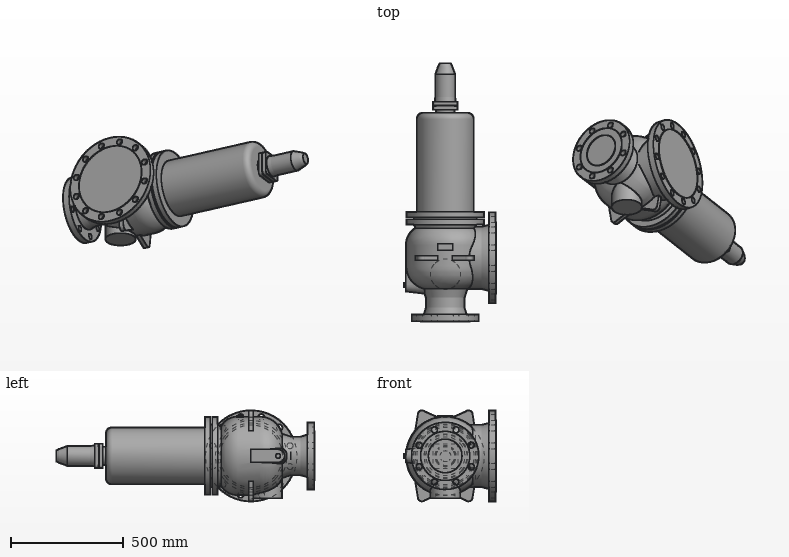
import cadquery as cq
import math


inlet_face = -283.0
inlet_raised_height = 2.0
inlet_raised_radius = 109.0
inlet_recess_radius = 75.0
inlet_recess_depth = 2.0
inlet_flange_radius = 149.0
inlet_flange_thickness = 31.0
inlet_neck_radius = 86.0
inlet_hub_radius = 95.0
inlet_hub_length = 30.0
inlet_neck_top = -177.0
inlet_bolt_circle_radius = 125.0
inlet_bolt_count = 8
bolt_hole_diameter = 26.0

body_radius = 174.0
bowl_throat_radius = 99.0
bowl_throat = -138.0
bowl_top = -39.0
shoulder_start = 60.0
shoulder_end = 132.0
shoulder_end_radius = 133.0
collar_radius = 143.0

joint_start = 148.0
joint_flange_radius = 345.0 / 2
joint_flange_thickness = 24.0
gasket_radius = 140.0
gasket_thickness = 8.0

bonnet_radius = 253.0 / 2
bonnet_top = 643.0
bonnet_rounding = 28.0
stem_radius = 41.0
nut_start = 656.0
nut_width = 109.0
nut_thickness = 17.0
nut_gap = 2.0
nut_corner_radius = 14.0

cap_radius = 45.0
cap_skirt_radius = 47.0
cap_skirt_length = 21.0
cap_taper_start = 813.0
cap_taper_end = 851.0
cap_taper_end_radius = 31.0
cap_top = 864.0
cap_top_radius = 24.0

outlet_face = 226.0
outlet_raised_height = 2.0
outlet_raised_radius = 158.0
outlet_flange_radius = 405.0 / 2
outlet_flange_thickness = 30.0
outlet_pipe_radius = 276.0 / 2
outlet_hub_radius = 147.0
outlet_hub_length = 33.0
outlet_bolt_circle_radius = 178.0
outlet_bolt_count = 12

drain_radius = 134.0 / 2
drain_y = -71.0
drain_length = 188.0

boss_face = 175.0
boss_half_width = 29.0
boss_center_y = -120.0
boss_draft = 7
boss_depth = 115.0
plug_radius = 10.0
plug_face = 184.0
plug_embedment = 57.0

lug_thickness = 21.0
lug_root = (29.0, 170.0)
lug_slope_end = (91.0, 197.0)
lug_peak = (105.0, 202.0)
lug_tip_side = (122.0, 186.0)
lug_outer_foot = (134.0, 108.0)
lug_inner_foot = (29.0, 108.0)

plate_width = 65.0
plate_length = 29.0
plate_center_y = 48.0
plate_height = 178.0

joint_top = joint_start + 2 * joint_flange_thickness + gasket_thickness


def tangent_arc_middle(radius, y_tangent, end_radius, y_end):
    """Middle of the arc that starts parallel to the axis and ends at (end_radius, y_end)."""
    dr = end_radius - radius
    dy = y_end - y_tangent
    arc_radius = (dr**2 + dy**2) / (2 * abs(dr))
    side = math.copysign(1, dr)
    half_sweep = math.asin(abs(dy) / arc_radius) / 2
    r_middle = radius + side * arc_radius * (1 - math.cos(half_sweep))
    y_middle = y_tangent + math.copysign(arc_radius * math.sin(half_sweep), dy)
    return (r_middle, y_middle)


def make_main_turning():
    """Inlet nozzle, bowl, bolted joint and bonnet, turned about the Y axis."""
    recess_floor = inlet_face + inlet_recess_depth
    flange_front = inlet_face + inlet_raised_height
    flange_back = flange_front + inlet_flange_thickness
    hub_end = flange_back + inlet_hub_length
    gasket_start = joint_start + joint_flange_thickness
    gasket_end = gasket_start + gasket_thickness
    bowl_middle = tangent_arc_middle(body_radius, bowl_top, bowl_throat_radius, bowl_throat)
    shoulder_middle = tangent_arc_middle(body_radius, shoulder_start, shoulder_end_radius, shoulder_end)
    collar_middle = tangent_arc_middle(shoulder_end_radius, shoulder_end, collar_radius, joint_start)
    bonnet_side_top = bonnet_top - bonnet_rounding
    return (
        cq.Workplane("XY")
        .moveTo(0, recess_floor)
        .lineTo(inlet_recess_radius, recess_floor)
        .lineTo(inlet_recess_radius, inlet_face)
        .lineTo(inlet_raised_radius, inlet_face)
        .lineTo(inlet_raised_radius, flange_front)
        .lineTo(inlet_flange_radius, flange_front)
        .lineTo(inlet_flange_radius, flange_back)
        .lineTo(inlet_hub_radius, flange_back)
        .lineTo(inlet_neck_radius, hub_end)
        .lineTo(inlet_neck_radius, inlet_neck_top)
        .lineTo(bowl_throat_radius, bowl_throat)
        .threePointArc(bowl_middle, (body_radius, bowl_top))
        .lineTo(body_radius, shoulder_start)
        .threePointArc(shoulder_middle, (shoulder_end_radius, shoulder_end))
        .threePointArc(collar_middle, (collar_radius, joint_start))
        .lineTo(joint_flange_radius, joint_start)
        .lineTo(joint_flange_radius, gasket_start)
        .lineTo(gasket_radius, gasket_start)
        .lineTo(gasket_radius, gasket_end)
        .lineTo(joint_flange_radius, gasket_end)
        .lineTo(joint_flange_radius, joint_top)
        .lineTo(bonnet_radius, joint_top)
        .lineTo(bonnet_radius, bonnet_side_top)
        .radiusArc((bonnet_radius - bonnet_rounding, bonnet_top), -bonnet_rounding)
        .lineTo(0, bonnet_top)
        .close()
        .revolve(360, (0, 0, 0), (0, 1, 0))
    )


def make_spindle():
    """Stem, two rounded square nuts and the tapered cap."""
    upper_nut_start = nut_start + nut_thickness + nut_gap
    cap_start = upper_nut_start + nut_thickness
    skirt_end = cap_start + cap_skirt_length
    turning = (
        cq.Workplane("XY")
        .moveTo(0, bonnet_top)
        .lineTo(stem_radius, bonnet_top)
        .lineTo(stem_radius, cap_start)
        .lineTo(cap_skirt_radius, cap_start)
        .lineTo(cap_radius, skirt_end)
        .lineTo(cap_radius, cap_taper_start)
        .lineTo(cap_taper_end_radius, cap_taper_end)
        .lineTo(cap_top_radius, cap_top)
        .lineTo(0, cap_top)
        .close()
        .revolve(360, (0, 0, 0), (0, 1, 0))
    )
    for start in (nut_start, upper_nut_start):
        nut = (
            cq.Workplane("XZ", origin=(0, start, 0))
            .rect(nut_width, nut_width)
            .extrude(-nut_thickness)
            .edges("|Y")
            .fillet(nut_corner_radius)
        )
        turning = turning.union(nut)
    return turning


def make_outlet():
    """Outlet pipe, hub, flange and raised face, turned about the X axis."""
    flange_front = outlet_face - outlet_raised_height
    flange_back = flange_front - outlet_flange_thickness
    hub_start = flange_back - outlet_hub_length
    return (
        cq.Workplane("XY")
        .lineTo(0, outlet_pipe_radius)
        .lineTo(hub_start, outlet_pipe_radius)
        .lineTo(flange_back, outlet_hub_radius)
        .lineTo(flange_back, outlet_flange_radius)
        .lineTo(flange_front, outlet_flange_radius)
        .lineTo(flange_front, outlet_raised_radius)
        .lineTo(outlet_face, outlet_raised_radius)
        .lineTo(outlet_face, 0)
        .close()
        .revolve(360, (0, 0, 0), (1, 0, 0))
    )


def make_bolt_holes(face_plane, circle_radius, count, depth):
    """Ring of bolt holes straddling the centre lines, cut inward from a flange face."""
    return (
        face_plane.polarArray(circle_radius, 180 / count, 360, count)
        .circle(bolt_hole_diameter / 2)
        .extrude(-depth)
    )


def make_drain():
    return cq.Workplane("XY").center(0, drain_y).circle(drain_radius).extrude(-drain_length)


def make_side_boss():
    """Round-ended pad that widens with draft into the body, with a small plug in its end."""
    outline = (
        cq.Workplane("YZ", origin=(-boss_face, 0, 0))
        .moveTo(0, boss_half_width)
        .lineTo(boss_center_y, boss_half_width)
        .threePointArc((boss_center_y - boss_half_width, 0), (boss_center_y, -boss_half_width))
        .lineTo(0, -boss_half_width)
        .close()
    )
    boss = outline.extrude(boss_depth, taper=-boss_draft)
    plug = (
        cq.Workplane("YZ", origin=(-plug_face, boss_center_y, 0))
        .circle(plug_radius)
        .extrude(plug_face - boss_face + plug_embedment)
    )
    return boss.union(plug)


def make_lugs():
    """Four lifting lugs, mirrored left to right and top to bottom."""
    lug = (
        cq.Workplane("XZ", origin=(0, lug_thickness / 2, 0))
        .moveTo(*lug_inner_foot)
        .lineTo(*lug_root)
        .lineTo(*lug_slope_end)
        .threePointArc(lug_peak, lug_tip_side)
        .lineTo(*lug_outer_foot)
        .close()
        .extrude(lug_thickness)
    )
    pair = lug.union(lug.mirror("YZ"))
    return pair.union(pair.mirror("XY"))


def make_name_plate():
    return (
        cq.Workplane("XY")
        .center(0, plate_center_y)
        .rect(plate_width, plate_length)
        .extrude(plate_height)
    )


inlet_holes = make_bolt_holes(
    cq.Workplane("XZ", origin=(0, inlet_face, 0)),
    inlet_bolt_circle_radius,
    inlet_bolt_count,
    inlet_raised_height + inlet_flange_thickness,
)
outlet_holes = make_bolt_holes(
    cq.Workplane("YZ", origin=(outlet_face, 0, 0)),
    outlet_bolt_circle_radius,
    outlet_bolt_count,
    outlet_raised_height + outlet_flange_thickness,
)

result = (
    make_main_turning()
    .union(make_spindle())
    .union(make_outlet())
    .union(make_drain())
    .union(make_side_boss())
    .union(make_lugs())
    .union(make_name_plate())
    .cut(inlet_holes)
    .cut(outlet_holes)
)